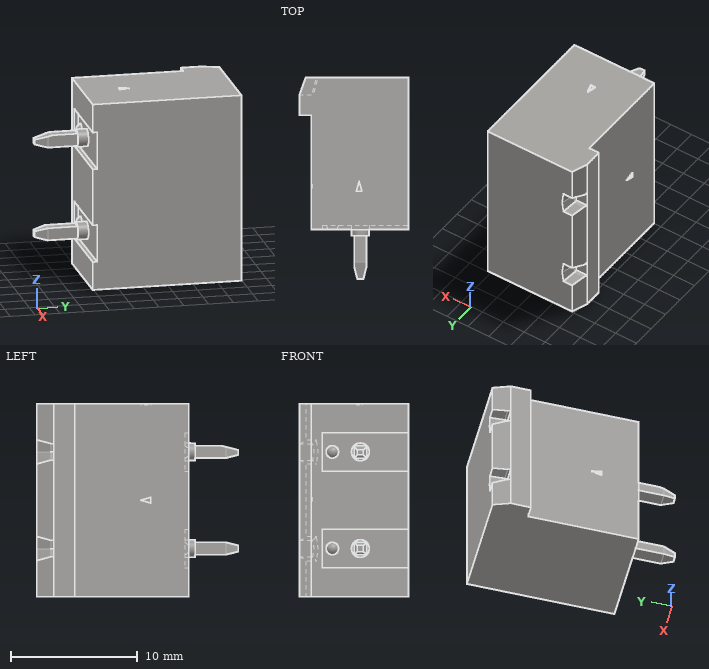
import cadquery as cq


housing_width = 8.6
housing_height = 15.23
total_length = 15.9
pin_length = 3.9
housing_depth = total_length - pin_length
lip_width = 0.92
lip_length = 3.0
lip_chamfer_width = 0.5
lip_chamfer_length = 1.37

pole_pitch = 7.62
upper_pole_z = pole_pitch / 2
lower_pole_z = -pole_pitch / 2
pin_x = 4.8

recess_start_x = 1.78
recess_height = 3.02
recess_depth = 0.35

dome_x = 2.59
dome_radius = 0.5

collar_diameter = 1.4
collar_length = 0.5
pin_side = 1.0
tip_side = 0.5
taper_start = 2.9
upper_pin_top_taper_start = 2.53

notch_mouth_half_width = 0.95
notch_neck_half_width = 0.65
notch_neck_depth = 1.11
notch_depth = lip_chamfer_length
notch_mouth_wall_x = 1.32
notch_wall_bevel = 0.13

mark_apex_y = housing_depth - 8.2
mark_length = 0.78
mark_width = 0.45
mark_depth = 0.1
top_mark_x = 4.7


def make_housing():
    lip_end_y = housing_depth - lip_length
    return (
        cq.Workplane("XY", origin=(0, 0, -housing_height / 2))
        .moveTo(lip_width, 0)
        .lineTo(housing_width, 0)
        .lineTo(housing_width, housing_depth)
        .lineTo(lip_chamfer_width, housing_depth)
        .lineTo(0, housing_depth - lip_chamfer_length)
        .lineTo(0, lip_end_y)
        .lineTo(lip_width, lip_end_y)
        .close()
        .extrude(housing_height)
    )


def make_recess(pole_z):
    return cq.Workplane("XY").box(
        housing_width - recess_start_x, recess_depth, recess_height, centered=(False, False, True)
    ).translate((recess_start_x, 0, pole_z))


def make_dome(pole_z):
    """Spherical cap with its base circle on the recess floor."""
    sphere_radius = (dome_radius**2 + recess_depth**2) / (2 * recess_depth)
    sphere = cq.Workplane("XY").sphere(sphere_radius).translate((dome_x, sphere_radius, pole_z))
    return sphere.intersect(make_recess(pole_z))


def notch_outline(half_width, wall_x):
    """Corners of a notch section in X and Z, with a shallow V as its inner wall."""
    return [
        (0, -half_width),
        (wall_x, -half_width),
        (wall_x + notch_wall_bevel, 0),
        (wall_x, half_width),
        (0, half_width),
    ]


def make_notch(pole_z):
    """Mouth whose walls taper equally down to a short straight neck."""
    taper = notch_mouth_half_width - notch_neck_half_width
    mouth = notch_outline(notch_mouth_half_width, notch_mouth_wall_x)
    neck = notch_outline(notch_neck_half_width, notch_mouth_wall_x - taper)

    plane = cq.Plane(origin=(0, housing_depth, pole_z), xDir=(1, 0, 0), normal=(0, -1, 0))
    tapered_mouth = (
        cq.Workplane(plane)
        .polyline(mouth)
        .close()
        .workplane(offset=notch_neck_depth)
        .polyline(neck)
        .close()
        .loft(ruled=True)
    )
    straight_neck = cq.Workplane(plane).polyline(neck).close().extrude(notch_depth)
    return tapered_mouth.union(straight_neck)


def make_pin(pole_z, top_taper_start):
    """Round collar and square pin with four tapered tip faces."""
    shank_half = pin_side / 2
    tip_half = tip_side / 2
    slope = (shank_half - tip_half) / (pin_length - taper_start)
    tip_top = shank_half - slope * (pin_length - top_taper_start)

    collar = (
        cq.Workplane("XZ", origin=(pin_x, recess_depth, pole_z))
        .circle(collar_diameter / 2)
        .extrude(recess_depth + collar_length)
    )
    plan_profile = (
        cq.Workplane("XY", origin=(pin_x, 0, pole_z - shank_half))
        .moveTo(-shank_half, -collar_length)
        .lineTo(-shank_half, -taper_start)
        .lineTo(-tip_half, -pin_length)
        .lineTo(tip_half, -pin_length)
        .lineTo(shank_half, -taper_start)
        .lineTo(shank_half, -collar_length)
        .close()
        .extrude(pin_side)
    )
    side_profile = (
        cq.Workplane("YZ", origin=(pin_x - shank_half, 0, pole_z))
        .moveTo(-collar_length, shank_half)
        .lineTo(-top_taper_start, shank_half)
        .lineTo(-pin_length, tip_top)
        .lineTo(-pin_length, -tip_half)
        .lineTo(-taper_start, -shank_half)
        .lineTo(-collar_length, -shank_half)
        .close()
        .extrude(pin_side)
    )
    return collar.union(plan_profile.intersect(side_profile))


def make_mark(plane):
    """Triangle with its apex at the plane's origin, pointing along local +Y."""
    return (
        cq.Workplane(plane)
        .polyline([(0, 0), (-mark_width / 2, -mark_length), (mark_width / 2, -mark_length)])
        .close()
        .extrude(-mark_depth)
    )


top_mark_plane = cq.Plane(
    origin=(top_mark_x, mark_apex_y, housing_height / 2), xDir=(1, 0, 0), normal=(0, 0, 1)
)
side_mark_plane = cq.Plane(origin=(lip_width, mark_apex_y, 0), xDir=(0, 0, 1), normal=(-1, 0, 0))

result = make_housing().cut(make_mark(top_mark_plane)).cut(make_mark(side_mark_plane))
for pole_z, top_taper_start in [
    (upper_pole_z, upper_pin_top_taper_start),
    (lower_pole_z, taper_start),
]:
    result = result.cut(make_recess(pole_z)).cut(make_notch(pole_z))
    result = result.union(make_dome(pole_z)).union(make_pin(pole_z, top_taper_start))